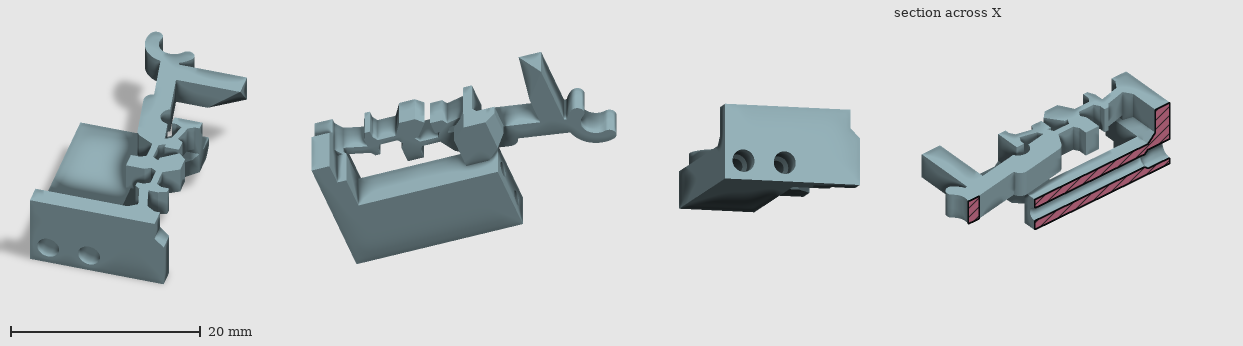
import cadquery as cq
import math

TOTAL_HEIGHT = 8.0
BLOCK_WIDTH = 8.2
BLOCK_LENGTH = 18.5
BLOCK_HEIGHT = 4.0
WALL_THICKNESS = 2.0
WALL_WIDTH = 14.7
WALL_TOP_WIDTH = 13.7
LEDGE_WIDTH = 12.15

PLATE_BOTTOM = 5.0
PLATE_THICKNESS = TOTAL_HEIGHT - PLATE_BOTTOM
PLATE_GAP = PLATE_BOTTOM - BLOCK_HEIGHT

HOLE_XS = (2.0, 6.5)
HOLE_Z = 2.0
HOLE_FRONT_DIAMETER = 2.4
HOLE_BACK_DIAMETER = 1.6
HOLE_FRONT_DEPTH = WALL_THICKNESS + PLATE_GAP

SUPPORT_FRONT = 15.0
SUPPORT_BACK = 20.0
SUPPORT_RIGHT = WALL_TOP_WIDTH
SUPPORT_BOTTOM = 2.0
SUPPORT_CHAMFER = 1.0
SUPPORT_CORNER = SUPPORT_RIGHT - LEDGE_WIDTH
POST_LEFT = 10.65
POST_FRONT = 16.5
POST_BACK = 17.5
POST_FLARE = 0.5

NECK_WIDTH = 0.7
FLARE_RUN = 0.63
FLARE_RISE = FLARE_RUN * math.tan(math.radians(30))
OUTER_NECK_X = 11.67
INNER_NECK_X = 10.02
POST_NECK_TOP_X = 12.17

ROOT_LEAF_WIDTH = 1.0
ROOT_FOOT_X = 11.1
ROOT_HEAD_X = 10.48
ROOT_FOOT_Y = 2.65
ROOT_FLARE_RUN = 0.97

LINK_LEFT = 9.95
LINK_RIGHT = 13.47
LINK_TOP = 6.07
LINK_EDGE_Y = 5.5
LINK_BOTTOM = 5.12
LINK_BEVEL_X = 12.54

ROCKER_LEFT = 8.03
ROCKER_RIGHT = WALL_TOP_WIDTH
ROCKER_BOTTOM = 8.44
ROCKER_LEFT_TOP = 10.23
ROCKER_STEP_X = 11.05
ROCKER_STEP_Y = 10.62
ROCKER_PEAK = (12.88, 11.97)

LEVER_TILT = math.radians(9.7)
LEVER_HEEL = (10.67, 13.81)
LEVER_WIDE = 3.0
LEVER_NARROW = 2.0
LEVER_SHOULDER = LEVER_WIDE - LEVER_NARROW
LEVER_WIDE_START = 0.75
LEVER_SHOULDER_CENTER = 6.15
LEVER_LENGTH = 13.2
TOE_BEVEL = (7.91, 13.62)
TOE_NECK_Y = 12.62
TOE_TAB_LEFT = ROCKER_STEP_X
TOE_TAB_RIGHT = 12.63
TOE_TAB_BOTTOM = 12.5
NOTCH_CENTER = (10.43, 17.52)
NOTCH_RADIUS = 1.28

HOOK_CENTER = (7.15, 29.06)
HOOK_INNER_RADIUS = 1.62
HOOK_OUTER_RADIUS = 3.1
HOOK_START_ANGLE = 161.6
HOOK_END_ANGLE = 323.0
FINGER_TIP = 16.07
FINGER_FRONT = 23.5
FINGER_BACK = 26.0
FINGER_ROOT_X = 8.6
FINGER_TAPER_X = 12.5


def box(x0, x1, y0, y1, z0, z1):
    """Box between two opposite corners."""
    return cq.Workplane("XY").box(x1 - x0, y1 - y0, z1 - z0, centered=False).translate((x0, y0, z0))


def plate(points, bottom=PLATE_BOTTOM):
    """Upright-sided piece of the carrier plate from a closed outline."""
    return cq.Workplane("XY").workplane(offset=bottom).polyline(points).close().extrude(TOTAL_HEIGHT - bottom)


def disc(center, radius):
    """Round piece with the thickness of the carrier plate."""
    outline = cq.Workplane("XY").workplane(offset=PLATE_BOTTOM).center(*center).circle(radius)
    return outline.extrude(PLATE_THICKNESS)


def lever_point(across, along):
    """Point measured leftward from the lever's right side and up along it."""
    x = LEVER_HEEL[0] - across * math.cos(LEVER_TILT) - along * math.sin(LEVER_TILT)
    y = LEVER_HEEL[1] - across * math.sin(LEVER_TILT) + along * math.cos(LEVER_TILT)
    return (x, y)


def hook_point(radius, angle):
    """Point on a circle around the hook centre."""
    turn = math.radians(angle)
    return (HOOK_CENTER[0] + radius * math.cos(turn), HOOK_CENTER[1] + radius * math.sin(turn))


def make_base():
    """Block, end wall with a stepped right side, and the sloped ledge in the corner."""
    block = box(0, BLOCK_WIDTH, 0, BLOCK_LENGTH, 0, BLOCK_HEIGHT)
    step = WALL_WIDTH - WALL_TOP_WIDTH
    wall_outline = [
        (0, 0),
        (WALL_WIDTH, 0),
        (WALL_WIDTH, PLATE_BOTTOM),
        (WALL_TOP_WIDTH, PLATE_BOTTOM + step),
        (WALL_TOP_WIDTH, TOTAL_HEIGHT),
        (0, TOTAL_HEIGHT),
    ]
    wall = cq.Workplane("XZ").polyline(wall_outline).close().extrude(-WALL_THICKNESS)
    ledge_outline = [
        (0, 0),
        (WALL_THICKNESS + PLATE_GAP, 0),
        (WALL_THICKNESS + PLATE_GAP, BLOCK_HEIGHT),
        (WALL_THICKNESS, PLATE_BOTTOM),
        (0, PLATE_BOTTOM),
    ]
    ledge = cq.Workplane("YZ").polyline(ledge_outline).close().extrude(LEDGE_WIDTH)
    return block.union(wall).union(ledge)


def make_hole(x):
    """Through hole, wide at the front, narrowing by a 45 degree cone."""
    front_radius = HOLE_FRONT_DIAMETER / 2
    back_radius = HOLE_BACK_DIAMETER / 2
    cone_end = HOLE_FRONT_DEPTH + front_radius - back_radius
    half_profile = [
        (0, 0),
        (front_radius, 0),
        (front_radius, HOLE_FRONT_DEPTH),
        (back_radius, cone_end),
        (back_radius, BLOCK_LENGTH),
        (0, BLOCK_LENGTH),
    ]
    hole = cq.Workplane("XY").polyline(half_profile).close().revolve(360, (0, 0), (0, 1))
    return hole.translate((x, 0, HOLE_Z))


def make_support_prism(bottom, top):
    """Upright prism over the support arm's outline, which has two 45 degree corners."""
    slant_start_y = SUPPORT_BACK - (POST_LEFT - BLOCK_WIDTH)
    outline = [
        (BLOCK_WIDTH, SUPPORT_FRONT),
        (SUPPORT_RIGHT - SUPPORT_CORNER, SUPPORT_FRONT),
        (SUPPORT_RIGHT, SUPPORT_FRONT + SUPPORT_CORNER),
        (SUPPORT_RIGHT, SUPPORT_BACK),
        (POST_LEFT, SUPPORT_BACK),
        (BLOCK_WIDTH, slant_start_y),
    ]
    return cq.Workplane("XY").workplane(offset=bottom).polyline(outline).close().extrude(top - bottom)


def make_support():
    """Arm from the block's right side, with a chamfered lower back edge."""
    arm = make_support_prism(SUPPORT_BOTTOM, BLOCK_HEIGHT)
    return arm.faces(">Y").edges("<Z").chamfer(SUPPORT_CHAMFER)


def make_post():
    """Post from the support arm to the top; its foot flares on three sides within the arm's outline."""
    post = box(POST_LEFT, SUPPORT_RIGHT, POST_FRONT, POST_BACK, BLOCK_HEIGHT, TOTAL_HEIGHT)
    foot_width = SUPPORT_RIGHT - POST_LEFT + POST_FLARE
    foot_depth = POST_BACK - POST_FRONT + 2 * POST_FLARE
    center_y = (POST_FRONT + POST_BACK) / 2
    foot = (
        cq.Workplane("XY")
        .workplane(offset=BLOCK_HEIGHT)
        .center(SUPPORT_RIGHT - foot_width / 2, center_y)
        .rect(foot_width, foot_depth)
        .workplane(offset=POST_FLARE)
        .center(POST_FLARE / 2, 0)
        .rect(foot_width - POST_FLARE, foot_depth - 2 * POST_FLARE)
        .loft(ruled=True)
    )
    clipped_foot = foot.intersect(make_support_prism(BLOCK_HEIGHT, PLATE_BOTTOM))
    return post.union(clipped_foot)


def make_neck(bottom_x, top_x, bottom_y, top_y):
    """Thin flexure neck, flared at both ends, between two mounting heights."""
    half = NECK_WIDTH / 2
    wide = half + FLARE_RUN
    return plate([
        (bottom_x - wide, bottom_y),
        (bottom_x + wide, bottom_y),
        (bottom_x + half, bottom_y + FLARE_RISE),
        (top_x + half, top_y - FLARE_RISE),
        (top_x + wide, top_y),
        (top_x - wide, top_y),
        (top_x - half, top_y - FLARE_RISE),
        (bottom_x - half, bottom_y + FLARE_RISE),
    ])


def make_necks():
    """Three necks: link to rocker, rocker to lever, lever to post."""
    lower = make_neck(OUTER_NECK_X, OUTER_NECK_X, LINK_TOP, ROCKER_BOTTOM + FLARE_RISE)
    middle = make_neck(INNER_NECK_X, INNER_NECK_X, ROCKER_LEFT_TOP, TOE_NECK_Y + FLARE_RISE)
    upper = make_neck(OUTER_NECK_X, POST_NECK_TOP_X, LEVER_HEEL[1], POST_FRONT)
    return lower.union(middle).union(upper)


def make_root_leaf():
    """Leaning strip on a wide foot that reaches down to the ledge."""
    foot_right_x = ROOT_FOOT_X + ROOT_LEAF_WIDTH
    foot = plate(
        [
            (ROOT_FOOT_X - ROOT_FLARE_RUN, WALL_THICKNESS),
            (foot_right_x + ROOT_FLARE_RUN, WALL_THICKNESS),
            (foot_right_x, ROOT_FOOT_Y),
            (ROOT_FOOT_X, ROOT_FOOT_Y),
        ],
        bottom=BLOCK_HEIGHT,
    )
    leaf = plate([
        (ROOT_FOOT_X, ROOT_FOOT_Y),
        (foot_right_x, ROOT_FOOT_Y),
        (ROOT_HEAD_X + ROOT_LEAF_WIDTH, LINK_BOTTOM),
        (ROOT_HEAD_X, LINK_BOTTOM),
    ])
    return foot.union(leaf)


def make_link():
    """Short crossbar on top of the root leaf."""
    return plate([
        (ROOT_HEAD_X, LINK_BOTTOM),
        (LINK_BEVEL_X, LINK_BOTTOM),
        (LINK_RIGHT, LINK_EDGE_Y),
        (LINK_RIGHT, LINK_TOP),
        (LINK_LEFT, LINK_TOP),
        (LINK_LEFT, LINK_EDGE_Y),
    ])


def make_rocker():
    """Crossbar with a raised stop on its right side and a notch next to the lower neck."""
    neck_side = NECK_WIDTH / 2
    notch_x = OUTER_NECK_X - neck_side - FLARE_RUN
    slope_start_x = OUTER_NECK_X + neck_side
    right_bottom = ROCKER_BOTTOM + (ROCKER_RIGHT - slope_start_x) * FLARE_RISE / FLARE_RUN
    right_top = ROCKER_PEAK[1] - (ROCKER_RIGHT - ROCKER_PEAK[0])
    return plate([
        (ROCKER_LEFT, ROCKER_BOTTOM),
        (notch_x - FLARE_RUN, ROCKER_BOTTOM),
        (notch_x, ROCKER_BOTTOM + FLARE_RISE),
        (OUTER_NECK_X - neck_side, ROCKER_BOTTOM),
        (slope_start_x, ROCKER_BOTTOM),
        (ROCKER_RIGHT, right_bottom),
        (ROCKER_RIGHT, right_top),
        ROCKER_PEAK,
        (ROCKER_STEP_X, ROCKER_STEP_Y),
        (ROCKER_STEP_X, ROCKER_LEFT_TOP),
        (ROCKER_LEFT, ROCKER_LEFT_TOP),
    ])


def make_lever():
    """Tilted bar with a rounded shoulder, a toe with a tab, and a round notch beside the post."""
    wide_bar = plate([
        LEVER_HEEL,
        lever_point(0, LEVER_SHOULDER_CENTER),
        lever_point(LEVER_WIDE, LEVER_SHOULDER_CENTER),
        lever_point(LEVER_WIDE, LEVER_WIDE_START),
        TOE_BEVEL,
        (INNER_NECK_X - NECK_WIDTH / 2, TOE_NECK_Y),
        (INNER_NECK_X + NECK_WIDTH / 2, TOE_NECK_Y),
        (TOE_TAB_LEFT, TOE_NECK_Y + FLARE_RISE),
        (TOE_TAB_LEFT, TOE_TAB_BOTTOM),
        (TOE_TAB_RIGHT, TOE_TAB_BOTTOM),
        (TOE_TAB_RIGHT, LEVER_HEEL[1]),
    ])
    narrow_bar = plate([
        lever_point(0, LEVER_SHOULDER_CENTER),
        lever_point(0, LEVER_LENGTH),
        lever_point(LEVER_NARROW, LEVER_LENGTH),
        lever_point(LEVER_NARROW, LEVER_SHOULDER_CENTER),
    ])
    shoulder = disc(lever_point(LEVER_NARROW, LEVER_SHOULDER_CENTER), LEVER_SHOULDER)
    notch = disc(NOTCH_CENTER, NOTCH_RADIUS)
    return wide_bar.union(narrow_bar).union(shoulder).cut(notch)


def make_hook():
    """Open ring with rounded ends."""
    middle_angle = (HOOK_START_ANGLE + HOOK_END_ANGLE) / 2
    middle_radius = (HOOK_INNER_RADIUS + HOOK_OUTER_RADIUS) / 2
    end_radius = (HOOK_OUTER_RADIUS - HOOK_INNER_RADIUS) / 2
    hook = (
        cq.Workplane("XY")
        .workplane(offset=PLATE_BOTTOM)
        .moveTo(*hook_point(HOOK_OUTER_RADIUS, HOOK_START_ANGLE))
        .threePointArc(
            hook_point(HOOK_OUTER_RADIUS, middle_angle),
            hook_point(HOOK_OUTER_RADIUS, HOOK_END_ANGLE),
        )
        .lineTo(*hook_point(HOOK_INNER_RADIUS, HOOK_END_ANGLE))
        .threePointArc(
            hook_point(HOOK_INNER_RADIUS, middle_angle),
            hook_point(HOOK_INNER_RADIUS, HOOK_START_ANGLE),
        )
        .close()
        .extrude(PLATE_THICKNESS)
    )
    for angle in (HOOK_START_ANGLE, HOOK_END_ANGLE):
        hook = hook.union(disc(hook_point(middle_radius, angle), end_radius))
    return hook


def make_finger():
    """Bar toward +X whose lower front tip corner is cut away by one sloping face."""
    finger = box(FINGER_ROOT_X, FINGER_TIP, FINGER_FRONT, FINGER_BACK, PLATE_BOTTOM, TOTAL_HEIGHT)
    tip_corner = [(FINGER_TAPER_X, FINGER_FRONT), (FINGER_TIP, FINGER_FRONT), (FINGER_TIP, FINGER_BACK)]
    apex = cq.Vector(FINGER_TIP, FINGER_FRONT, TOTAL_HEIGHT)
    base = [cq.Vector(x, y, PLATE_BOTTOM) for x, y in tip_corner]
    triangles = [base]
    for index in range(len(base)):
        triangles.append([base[index - 1], base[index], apex])
    faces = [cq.Face.makeFromWires(cq.Wire.makePolygon(corners, close=True)) for corners in triangles]
    wedge = cq.Solid.makeSolid(cq.Shell.makeShell(faces))
    return finger.cut(cq.Workplane("XY").add(wedge))


result = make_base()
for hole_x in HOLE_XS:
    result = result.cut(make_hole(hole_x))

for piece in (
    make_support(),
    make_post(),
    make_root_leaf(),
    make_link(),
    make_rocker(),
    make_necks(),
    make_lever(),
    make_hook(),
    make_finger(),
):
    result = result.union(piece)